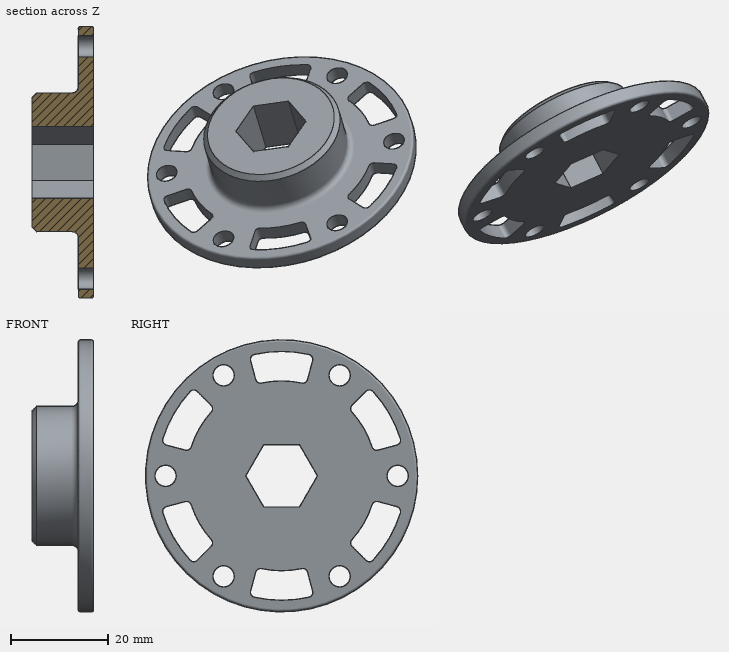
import cadquery as cq
import math

INCH = 25.4
HEX_SIDES = 6

flange_diameter = 2.2 * INCH
flange_thickness = 0.125 * INCH
overall_length = 0.5 * INCH
hub_diameter = 1.125 * INCH

hub_chamfer = 1.0
root_fillet = 0.05 * INCH
rim_fillet = 0.02 * INCH

hex_across_flats = 0.5 * INCH
hex_across_corners = hex_across_flats / math.cos(math.pi / HEX_SIDES)

pattern_count = 6
pattern_pitch = 360 / pattern_count
bolt_circle_diameter = 1.875 * INCH
bolt_hole_diameter = 4.3
window_outer_radius = 25.5
window_inner_radius = 19.5
first_window_angle = pattern_pitch / 2
window_half_angle = 15
window_corner_radius = 1.0

hub_face_x = -overall_length
flange_face_x = -flange_thickness


def disc(diameter, start_x, length):
    """Solid cylinder on the X axis, running toward +X from start_x."""
    return cq.Workplane("YZ", origin=(start_x, 0, 0)).circle(diameter / 2).extrude(length)


def flanged_hub():
    """Flange with rounded rim, joined to a chamfered hub by a root fillet."""
    flange = disc(flange_diameter, flange_face_x, flange_thickness).edges().fillet(rim_fillet)
    hub = disc(hub_diameter, hub_face_x, overall_length)
    hub = hub.faces("<X").edges().chamfer(hub_chamfer)
    body = flange.union(hub)
    flange_front = cq.NearestToPointSelector((flange_face_x, 0, 0))
    root_circle = cq.selectors.RadiusNthSelector(0)
    return body.faces(flange_front).edges(root_circle).fillet(root_fillet)


def hex_bore():
    """Hexagonal prism through the whole length."""
    return (
        cq.Workplane("YZ", origin=(hub_face_x, 0, 0))
        .polygon(HEX_SIDES, hex_across_corners)
        .extrude(overall_length)
    )


def bolt_holes():
    """Ring of round holes through the flange, the first on the Y axis."""
    return (
        cq.Workplane("YZ", origin=(flange_face_x, 0, 0))
        .polarArray(bolt_circle_diameter / 2, 0, 360, pattern_count)
        .circle(bolt_hole_diameter / 2)
        .extrude(flange_thickness)
    )


def polar_point(radius, angle):
    """Point in the YZ plane, with the angle in degrees from +Y toward +Z."""
    turn = math.radians(angle)
    return radius * math.cos(turn), radius * math.sin(turn)


def window(mid_angle):
    """Ring-sector prism with radial sides and rounded corners."""
    start_angle = mid_angle - window_half_angle
    end_angle = mid_angle + window_half_angle
    return (
        cq.Workplane("YZ", origin=(flange_face_x, 0, 0))
        .moveTo(*polar_point(window_inner_radius, start_angle))
        .lineTo(*polar_point(window_outer_radius, start_angle))
        .threePointArc(
            polar_point(window_outer_radius, mid_angle),
            polar_point(window_outer_radius, end_angle),
        )
        .lineTo(*polar_point(window_inner_radius, end_angle))
        .threePointArc(
            polar_point(window_inner_radius, mid_angle),
            polar_point(window_inner_radius, start_angle),
        )
        .close()
        .extrude(flange_thickness)
        .edges("|X")
        .fillet(window_corner_radius)
    )


result = flanged_hub().cut(hex_bore()).cut(bolt_holes())
for index in range(pattern_count):
    result = result.cut(window(first_window_angle + index * pattern_pitch))